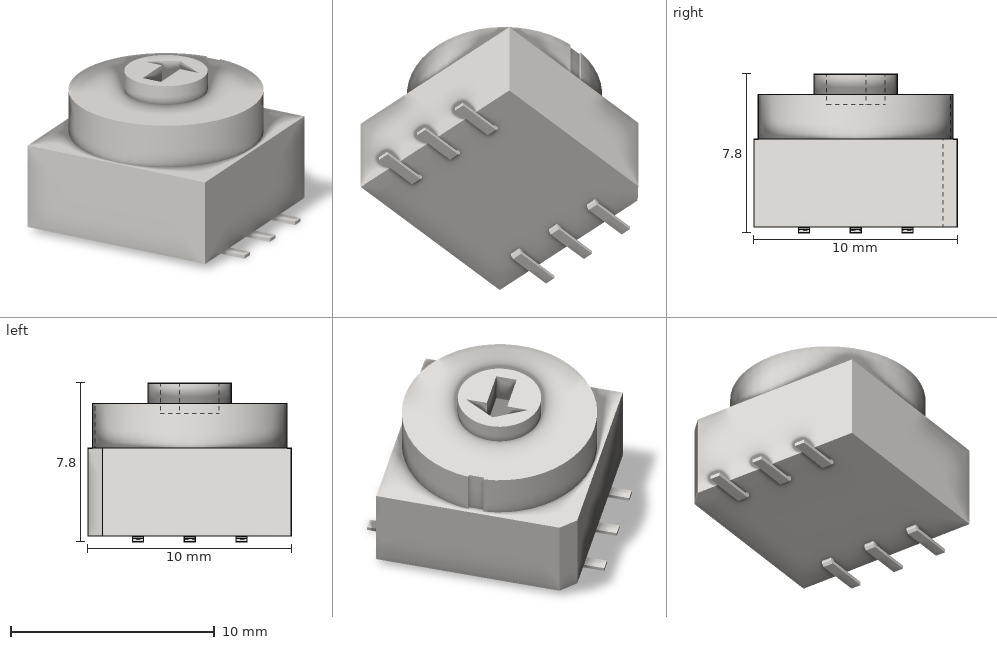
import cadquery as cq

body_side = 10.0
body_bottom = 0.29
body_top = 4.61
corner_chamfer = 0.72

dial_diameter = 9.6
dial_top = 6.8
knob_diameter = 4.1
knob_top = 7.8

notch_width = 0.77
notch_depth = 0.15

arrow_half_length = 1.43
arrow_half_width = 1.58
arrow_shoulder = 0.5
arrow_stem_width = 1.03
arrow_depth = 1.5

lead_span = 12.0
lead_length = 2.51
lead_thickness = 0.18
lead_width = 0.55
lead_pitch = 2.55
lead_outer_chamfer = 0.13
lead_inner_chamfer = 0.1
leads_per_side = 3


def make_housing():
    """Square block with the -X +Y corner cut off."""
    block = (
        cq.Workplane("XY")
        .workplane(offset=body_bottom)
        .rect(body_side, body_side)
        .extrude(body_top - body_bottom)
    )
    return block.edges("|Z and <X and >Y").chamfer(corner_chamfer)


def make_dial():
    """Round dial with a full-height index notch at +Y and the knob on top."""
    dial = cq.Workplane("XY").workplane(offset=body_top).circle(dial_diameter / 2).extrude(dial_top - body_top)
    notch = (
        cq.Workplane("XY")
        .workplane(offset=body_top)
        .center(0, dial_diameter / 2)
        .rect(notch_width, 2 * notch_depth)
        .extrude(dial_top - body_top)
    )
    knob = cq.Workplane("XY").workplane(offset=dial_top).circle(knob_diameter / 2).extrude(knob_top - dial_top)
    return dial.cut(notch).union(knob)


def make_arrow():
    """Blind arrow recess, pointing to the index notch."""
    stem = arrow_stem_width / 2
    outline = [
        (0, arrow_half_length),
        (arrow_half_width, arrow_shoulder),
        (stem, arrow_shoulder),
        (stem, -arrow_half_length),
        (-stem, -arrow_half_length),
        (-stem, arrow_shoulder),
        (-arrow_half_width, arrow_shoulder),
    ]
    return cq.Workplane("XY").workplane(offset=knob_top).polyline(outline).close().extrude(-arrow_depth)


def make_left_lead(y_position):
    """Flat foot at Z = 0 that bends up into the underside of the housing."""
    foot_end = -lead_span / 2
    heel = foot_end + lead_length
    outline = [
        (foot_end, 0),
        (heel, 0),
        (heel, body_bottom),
        (heel - lead_thickness, body_bottom),
        (heel - lead_thickness, lead_thickness),
        (foot_end, lead_thickness),
    ]
    lead = (
        cq.Workplane("XZ", origin=(0, y_position + lead_width / 2, 0))
        .polyline(outline)
        .close()
        .extrude(lead_width)
    )
    outer_corner = cq.selectors.NearestToPointSelector((heel, y_position, 0))
    inner_corner = cq.selectors.NearestToPointSelector((heel - lead_thickness, y_position, lead_thickness))
    lead = lead.edges("|Y").edges(outer_corner).chamfer(lead_outer_chamfer)
    return lead.edges("|Y").edges(inner_corner).chamfer(lead_inner_chamfer)


result = make_housing().union(make_dial()).cut(make_arrow())

for index in range(leads_per_side):
    lead_y = (index - (leads_per_side - 1) / 2) * lead_pitch
    left_lead = make_left_lead(lead_y)
    result = result.union(left_lead).union(left_lead.mirror("YZ"))